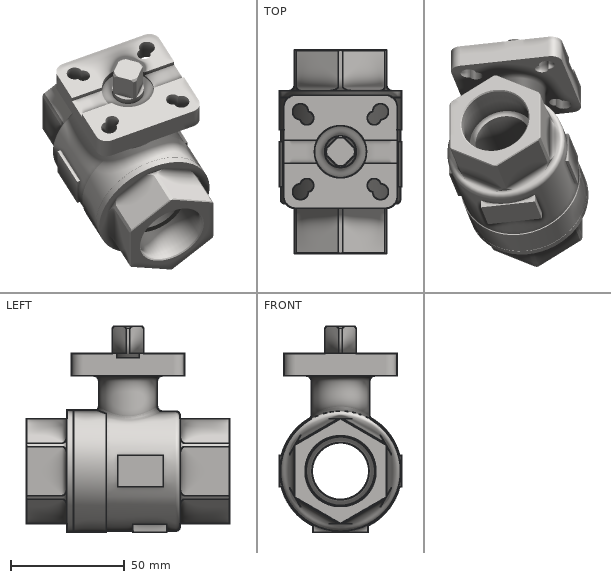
import cadquery as cq
import math


BODY_DIA = 53
BODY_FRONT_Y = -23
BODY_EDGE_FILLET = 2
CAP_DIA = 54
CAP_START_Y = 9.7
CAP_END_Y = 27
GROOVE_Y = 24
GROOVE_WIDTH = 0.3
GROOVE_DEPTH = 0.1

OVERALL_LENGTH = 90
HEX_FLATS = 41
HEX_CORNERS = 46.3
HEX_END_CHAMFER = 0.4
HEX_ROOT_FILLET = 2
BORE_DIA = 25
SOCKET_DIA = 30.29
SOCKET_DEPTH = 18
SOCKET_CHAMFER = 0.5

NECK_DIA = 26
NECK_FILLET = 2
PLATE_SIZE = 50
PLATE_BOTTOM_Z = 42
PLATE_TOP_Z = 52
PLATE_CORNER_RADIUS = 5
SLOT_WIDTH = 10
SLOT_DEPTH = 2
RECESS_DIA = 23
RECESS_DEPTH = 3
BOLT_PATTERNS = ((50, 7), (42, 6))
BOLT_COUNT = 4
DIAGONAL_ANGLE = 45

STEM_DIA = 14
STEM_SQUARE = 11
STEM_TOP_Z = 64
STEM_CHAMFER_RADIAL = 0.75
STEM_CHAMFER_HEIGHT = 1

SIDE_PAD_LENGTH = 20
SIDE_PAD_HEIGHT = 14
SIDE_PAD_CENTRE_Y = -5.5
BOTTOM_PAD_WIDTH = 24.3
BOTTOM_PAD_LENGTH = 15
BOTTOM_PAD_CENTRE_Y = -9.7
PAD_REACH = CAP_DIA / 2


def y_cylinder(diameter, y_start, y_end):
    """Cylinder on the flow axis between two Y positions."""
    plane = cq.Workplane("XZ", origin=(0, y_start, 0))
    return plane.circle(diameter / 2).extrude(y_start - y_end)


def hexagon(plane, across_flats, length):
    """Hexagonal prism with a corner on the plane's local X axis."""
    corner_dia = across_flats / math.cos(math.pi / 6)
    return plane.polygon(6, corner_dia).extrude(length)


def make_body():
    """Cylindrical body joined to the neck and plate with fillets."""
    body = y_cylinder(BODY_DIA, BODY_FRONT_Y, CAP_END_Y)
    body = body.faces("<Y").edges().fillet(BODY_EDGE_FILLET)
    neck = cq.Workplane("XY").circle(NECK_DIA / 2).extrude(PLATE_BOTTOM_Z)
    plate = (
        cq.Workplane("XY", origin=(0, 0, PLATE_BOTTOM_Z))
        .rect(PLATE_SIZE, PLATE_SIZE)
        .extrude(PLATE_TOP_Z - PLATE_BOTTOM_Z)
        .edges("|Z")
        .fillet(PLATE_CORNER_RADIUS)
    )
    joined = body.union(neck).union(plate)
    clearance = 1
    neck_half = NECK_DIA / 2 + clearance
    neck_zone = cq.selectors.BoxSelector(
        (-neck_half, -neck_half, 0),
        (neck_half, neck_half, PLATE_BOTTOM_Z + clearance),
        boundingbox=True,
    )
    return joined.edges(neck_zone).edges("not |Z").fillet(NECK_FILLET)


def make_cap():
    """End cap: a slightly larger cylinder with a fine ring groove."""
    cap = y_cylinder(CAP_DIA, CAP_START_Y, CAP_END_Y)
    groove_start = GROOVE_Y - GROOVE_WIDTH / 2
    groove_end = GROOVE_Y + GROOVE_WIDTH / 2
    groove = y_cylinder(CAP_DIA, groove_start, groove_end).cut(
        y_cylinder(CAP_DIA - 2 * GROOVE_DEPTH, groove_start, groove_end)
    )
    return cap, groove


def make_hex_end(root_y, direction):
    """Hex pipe end growing from root_y toward +Y (1) or -Y (-1)."""
    plane = cq.Plane(origin=(0, root_y, 0), xDir=(0, 0, 1), normal=(0, direction, 0))
    corner_plane = cq.Plane(origin=(0, root_y, 0), xDir=(1, 0, 0), normal=(0, direction, 0))
    length = OVERALL_LENGTH / 2 - abs(root_y)
    flange_thickness = 1
    flange = cq.Workplane(plane).circle(CAP_DIA).extrude(-flange_thickness)
    prism = hexagon(cq.Workplane(plane), HEX_FLATS, length)
    end_side = ">Y" if direction > 0 else "<Y"
    prism = prism.faces(end_side).edges().chamfer(HEX_END_CHAMFER)
    flared = flange.union(prism)
    root_zone = cq.selectors.BoxSelector(
        (-HEX_FLATS, root_y - flange_thickness / 2, -HEX_FLATS),
        (HEX_FLATS, root_y + flange_thickness / 2, HEX_FLATS),
        boundingbox=True,
    )
    flared = flared.edges(root_zone).fillet(HEX_ROOT_FILLET)
    corner_planes = hexagon(cq.Workplane(corner_plane), HEX_CORNERS, length)
    return flared.intersect(corner_planes)


def make_pads():
    """Flat pads on both sides and underneath, reaching in to the axis."""
    side_pads = cq.Workplane("XY", origin=(0, SIDE_PAD_CENTRE_Y, 0)).box(
        2 * PAD_REACH, SIDE_PAD_LENGTH, SIDE_PAD_HEIGHT
    )
    bottom_pad = cq.Workplane("XY", origin=(0, BOTTOM_PAD_CENTRE_Y, -PAD_REACH / 2)).box(
        BOTTOM_PAD_WIDTH, BOTTOM_PAD_LENGTH, PAD_REACH
    )
    return side_pads.union(bottom_pad)


def make_flow_passage():
    """Through bore with a chamfered socket at each end."""
    passage = y_cylinder(BORE_DIA, -OVERALL_LENGTH / 2, OVERALL_LENGTH / 2)
    mouth_radius = SOCKET_DIA / 2 + SOCKET_CHAMFER
    for direction in (1, -1):
        end_y = direction * OVERALL_LENGTH / 2
        socket = y_cylinder(SOCKET_DIA, end_y - direction * SOCKET_DEPTH, end_y)
        mouth = cq.Solid.makeCone(
            mouth_radius,
            SOCKET_DIA / 2,
            SOCKET_CHAMFER,
            pnt=cq.Vector(0, end_y, 0),
            dir=cq.Vector(0, -direction, 0),
        )
        passage = passage.union(socket).union(cq.Workplane(mouth))
    return passage


def make_plate_cuts():
    """Cross slot, round recess and overlapping bolt holes in the plate."""
    top = cq.Workplane("XY", origin=(0, 0, PLATE_TOP_Z))
    cuts = top.rect(PLATE_SIZE, SLOT_WIDTH).extrude(-SLOT_DEPTH)
    cuts = cuts.union(top.circle(RECESS_DIA / 2).extrude(-RECESS_DEPTH))
    for circle_dia, hole_dia in BOLT_PATTERNS:
        holes = (
            top.polarArray(circle_dia / 2, DIAGONAL_ANGLE, 360, BOLT_COUNT)
            .circle(hole_dia / 2)
            .extrude(PLATE_BOTTOM_Z - PLATE_TOP_Z)
        )
        cuts = cuts.union(holes)
    return cuts


def make_stem():
    """Round shoulder level with the plate and a square drive above it."""
    shoulder_bottom = PLATE_TOP_Z - RECESS_DEPTH
    radius = STEM_DIA / 2
    profile = [
        (0, shoulder_bottom),
        (radius, shoulder_bottom),
        (radius, STEM_TOP_Z - STEM_CHAMFER_HEIGHT),
        (radius - STEM_CHAMFER_RADIAL, STEM_TOP_Z),
        (0, STEM_TOP_Z),
    ]
    stem = cq.Workplane("XZ").polyline(profile).close().revolve(360, (0, 0, 0), (0, 1, 0))
    drive_zone = cq.Workplane("XY", origin=(0, 0, PLATE_TOP_Z))
    drive_height = STEM_TOP_Z - PLATE_TOP_Z
    diagonal = drive_zone.transformed(rotate=(0, 0, DIAGONAL_ANGLE))
    square = diagonal.rect(STEM_SQUARE, STEM_SQUARE).extrude(drive_height)
    around_square = drive_zone.circle(STEM_DIA).extrude(drive_height).cut(square)
    return stem.cut(around_square)


cap, cap_groove = make_cap()
valve = make_body().union(cap).union(make_pads())
valve = valve.cut(cap_groove)
valve = valve.union(make_hex_end(BODY_FRONT_Y, -1))
valve = valve.union(make_hex_end(CAP_END_Y, 1))
valve = valve.cut(make_plate_cuts())
valve = valve.union(make_stem())
result = valve.cut(make_flow_passage())